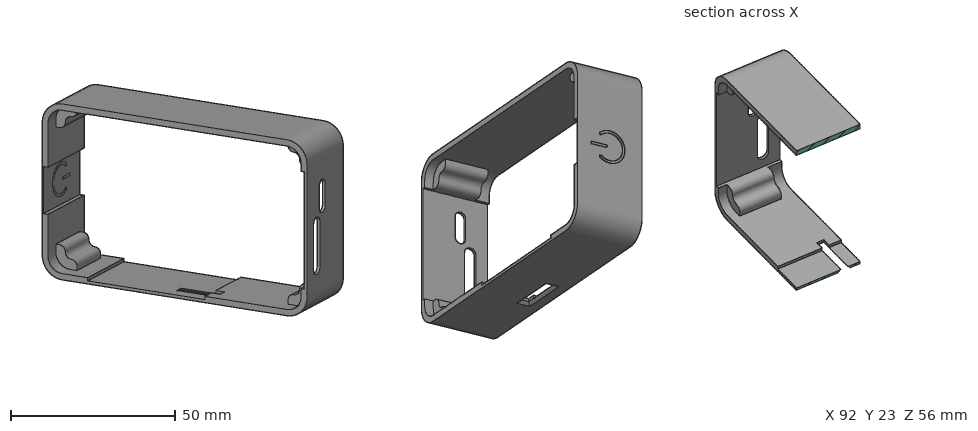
import cadquery as cq
import math

length = 92
depth = 23
height = 56.0
wall = 2.0
outer_radius = 7.0
inner_radius = outer_radius - wall
inner_length = length - 2 * wall
inner_height = height - 2 * wall

post_reach = 7.4
post_round = 2.0
post_arm = post_reach - 2 * post_round
post_front_setback = 5.0
post_length = 15.0

right_skin = 1.0
floor_skin = 1.0
left_skin = 0.5
right_pocket_height = inner_height - 2 * post_reach
left_pocket_height = 15.0
left_pocket_z = -0.4
floor_pocket_length = 40.7
floor_pocket_x = -9.8

floor_slot_length = 15.0
floor_slot_width = 2.5
floor_slot_x = 6.0
floor_slot_y = -5.8

right_slots = [(-1.8, 8.65, 10.5, 3.7), (-5.3, -6.35, 18.2, 4.0)]

symbol_radius = 5.0
symbol_stroke = 0.8
symbol_depth = 0.2
symbol_gap_half_angle = 50
symbol_bar_outer_y = 6.5
symbol_bar_inner_y = 0.9


def block(x_size, z_size, radius):
    """Full-depth block with its four long edges rounded."""
    return cq.Workplane("XY").box(x_size, depth, z_size).edges("|Y").fillet(radius)


def make_post():
    """Post filling the upper right inner corner, with an S-curved face on each arm."""
    right = inner_length / 2
    top = inner_height / 2
    bend = post_arm + post_round
    profile = (
        cq.Workplane("XZ", origin=(0, -depth / 2 + post_front_setback, 0))
        .moveTo(right, top)
        .lineTo(right - post_reach, top)
        .lineTo(right - post_reach, top - post_arm + post_round)
        .radiusArc((right - bend, top - post_arm), -post_round)
        .radiusArc((right - post_arm, top - bend), post_round)
        .radiusArc((right - post_arm + post_round, top - post_reach), -post_round)
        .lineTo(right, top - post_reach)
        .close()
    )
    post = profile.extrude(-post_length)
    return post.intersect(block(length, height, outer_radius))


def wall_pockets():
    """Full-depth cutters that thin the right wall, left wall and floor."""
    right_cut = wall - right_skin
    left_cut = wall - left_skin
    floor_cut = wall - floor_skin
    right_x = inner_length / 2 + right_cut / 2
    left_x = -inner_length / 2 - left_cut / 2
    floor_z = -inner_height / 2 - floor_cut / 2
    right = cq.Workplane("XY").box(right_cut, depth, right_pocket_height).translate((right_x, 0, 0))
    left = cq.Workplane("XY").box(left_cut, depth, left_pocket_height).translate((left_x, 0, left_pocket_z))
    floor = cq.Workplane("XY").box(floor_pocket_length, depth, floor_cut)
    floor = floor.translate((floor_pocket_x, 0, floor_z))
    return [right, left, floor]


def floor_slot():
    bevel = floor_skin
    throat = (
        cq.Workplane("XY", origin=(floor_slot_x, floor_slot_y, -height / 2))
        .rect(floor_slot_length, floor_slot_width)
        .extrude(wall)
    )
    flare = (
        cq.Workplane("XY", origin=(floor_slot_x, floor_slot_y, -height / 2))
        .rect(floor_slot_length + 2 * bevel, floor_slot_width + 2 * bevel)
        .workplane(offset=floor_skin)
        .rect(floor_slot_length, floor_slot_width)
        .loft(ruled=True)
    )
    return throat.union(flare)


def right_slot(y, z, slot_length, width):
    return cq.Workplane("YZ", origin=(length / 2 - wall, y, z)).slot2D(slot_length, width, 90).extrude(wall)


def power_symbol():
    """Open ring with round ends, and a bar with a round inner end in the ring's gap."""
    plane = cq.Workplane("YZ", origin=(-length / 2, 0, 0))
    half_stroke = symbol_stroke / 2
    outer = symbol_radius + half_stroke
    inner = symbol_radius - half_stroke
    gap_y = math.cos(math.radians(symbol_gap_half_angle))
    gap_z = math.sin(math.radians(symbol_gap_half_angle))
    ring = (
        plane.moveTo(outer * gap_y, outer * gap_z)
        .threePointArc((-outer, 0), (outer * gap_y, -outer * gap_z))
        .radiusArc((inner * gap_y, -inner * gap_z), -half_stroke)
        .threePointArc((-inner, 0), (inner * gap_y, inner * gap_z))
        .radiusArc((outer * gap_y, outer * gap_z), -half_stroke)
        .close()
        .extrude(symbol_depth)
    )
    bar = (
        plane.moveTo(symbol_bar_outer_y, half_stroke)
        .lineTo(symbol_bar_inner_y + half_stroke, half_stroke)
        .threePointArc((symbol_bar_inner_y, 0), (symbol_bar_inner_y + half_stroke, -half_stroke))
        .lineTo(symbol_bar_outer_y, -half_stroke)
        .close()
        .extrude(symbol_depth)
    )
    return [ring, bar]


result = block(length, height, outer_radius).cut(block(inner_length, inner_height, inner_radius))

post = make_post()
left_post = post.mirror("YZ")
for corner_post in (post, left_post, post.mirror("XY"), left_post.mirror("XY")):
    result = result.union(corner_post)

cutters = wall_pockets() + power_symbol() + [floor_slot()]
cutters += [right_slot(*slot) for slot in right_slots]
for cutter in cutters:
    result = result.cut(cutter)